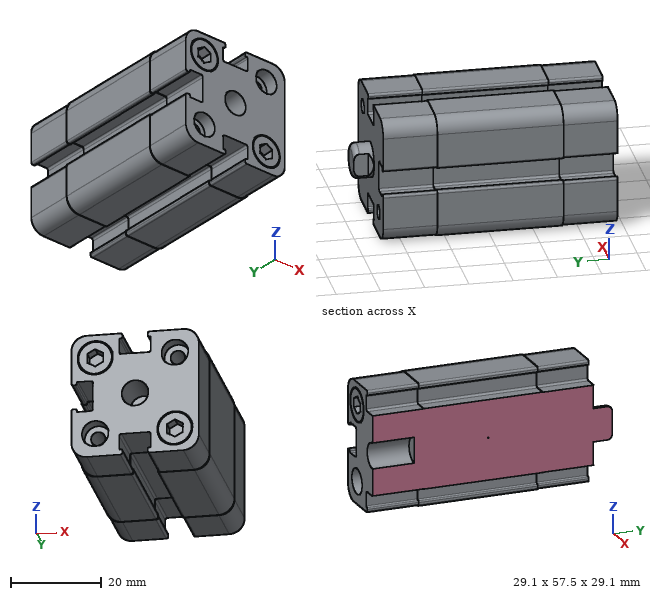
import cadquery as cq
import math

barrel_size = 29.05
cap_size = 28.8
body_length = 53.0
cap_length = 12.25
barrel_length = body_length - 2 * cap_length
corner_radius = 3.5

barrel_slot_floor = 9.55
cap_slot_floor = 9.5
lip_inner_face = 13.2
barrel_mouth_width = 5.4
barrel_slot_width = 6.8
cap_mouth_width = 5.7
cap_slot_width = 7.1
lip_outer_radius = 0.5
lip_inner_radius = 0.3
slot_inner_radius = 0.5
slot_sides = (90, 180, 270)

rod_diameter = 8.0
rod_length = 4.5
rod_end_radius = 1.3
flat_width = 6.0
flat_length = 3.4

hole_offset = 9.0
port_diameter = 6.0
port_depth = 10.0
counterbore_depth = 3.4
through_diameter = 3.24
screw_seat_diameter = 8.0
screw_head_diameter = 7.5
screw_head_depth = 4.0
socket_corner_diameter = 4.13
socket_depth = 3.0


def plane_at(y):
    """XZ plane at the given Y, with its normal toward +Y and local y along -Z."""
    return cq.Plane(origin=(0, y, 0), xDir=(1, 0, 0), normal=(0, 1, 0))


def cylinder(x, z, diameter, start, length):
    return cq.Workplane(plane_at(start)).center(x, -z).circle(diameter / 2).extrude(length)


def slot_cutter(size, mouth_width, slot_width, slot_floor, start, length):
    """T slot opening toward +X, with rounded inner corners and rounded mouth edges."""
    outer_face = size / 2
    mouth = mouth_width / 2
    flare = mouth + lip_outer_radius
    opening_start = slot_floor + slot_inner_radius
    arc_offset = lip_outer_radius * (1 - math.sqrt(0.5))
    groove = (
        cq.Workplane(plane_at(start))
        .center((slot_floor + lip_inner_face) / 2, 0)
        .rect(lip_inner_face - slot_floor, slot_width)
        .extrude(length)
        .edges("|Y and <X")
        .fillet(slot_inner_radius)
        .edges("|Y and >X")
        .fillet(lip_inner_radius)
    )
    opening = (
        cq.Workplane(plane_at(start))
        .moveTo(opening_start, -mouth)
        .lineTo(outer_face - lip_outer_radius, -mouth)
        .threePointArc((outer_face - arc_offset, -mouth - arc_offset), (outer_face, -flare))
        .lineTo(outer_face, flare)
        .threePointArc((outer_face - arc_offset, mouth + arc_offset), (outer_face - lip_outer_radius, mouth))
        .lineTo(opening_start, mouth)
        .close()
        .extrude(length)
    )
    corner_reach = lip_inner_radius / 2
    lip_corners = cq.selectors.BoxSelector(
        (lip_inner_face - corner_reach, start, -mouth - corner_reach),
        (lip_inner_face + corner_reach, start + length, mouth + corner_reach),
    )
    return groove.union(opening).edges("|Y").edges(lip_corners).fillet(lip_inner_radius)


def body_section(size, mouth_width, slot_width, slot_floor, start, length):
    """Square bar with rounded corners and a T slot in every side but +X."""
    section = (
        cq.Workplane(plane_at(start))
        .rect(size, size)
        .extrude(length)
        .edges("|Y")
        .fillet(corner_radius)
    )
    cutter = slot_cutter(size, mouth_width, slot_width, slot_floor, start, length)
    for angle in slot_sides:
        section = section.cut(cutter.rotate((0, 0, 0), (0, 1, 0), angle))
    return section


def piston_rod():
    """Round-ended rod on the body axis, with a wrench flat on the +X and -X sides."""
    rod = cylinder(0, 0, rod_diameter, body_length, rod_length)
    rod = rod.faces(">Y").edges().fillet(rod_end_radius)
    rod_end = body_length + rod_length
    flat_end = rod_end - flat_length
    half_flat = flat_width / 2
    half_rod = rod_diameter / 2
    slope_start = flat_end - (half_rod - half_flat)
    envelope = (
        cq.Workplane("XY")
        .polyline([
            (-half_rod, body_length),
            (half_rod, body_length),
            (half_rod, slope_start),
            (half_flat, flat_end),
            (half_flat, rod_end),
            (-half_flat, rod_end),
            (-half_flat, flat_end),
            (-half_rod, slope_start),
        ])
        .close()
        .extrude(half_rod, both=True)
    )
    return rod.intersect(envelope)


def cut_mounting_hole(body, x, z):
    """Counterbored hole through the whole body."""
    body = body.cut(cylinder(x, z, port_diameter, 0, counterbore_depth))
    return body.cut(cylinder(x, z, through_diameter, 0, body_length))


def cut_screw(body, x, z):
    """Gap around a flush screw head, and the head's hexagon socket."""
    gap = cylinder(x, z, screw_seat_diameter, 0, screw_head_depth)
    gap = gap.cut(cylinder(x, z, screw_head_diameter, 0, screw_head_depth))
    socket = (
        cq.Workplane(plane_at(0))
        .center(x, -z)
        .transformed(rotate=(0, 0, 90))
        .polygon(6, socket_corner_diameter)
        .extrude(socket_depth)
    )
    return body.cut(gap).cut(socket)


def end_cap(start):
    return body_section(cap_size, cap_mouth_width, cap_slot_width, cap_slot_floor, start, cap_length)


def slotted_barrel():
    return body_section(
        barrel_size, barrel_mouth_width, barrel_slot_width, barrel_slot_floor, cap_length, barrel_length
    )


body = end_cap(0).union(slotted_barrel()).union(end_cap(body_length - cap_length))
body = body.union(piston_rod())
body = body.cut(cylinder(0, 0, port_diameter, 0, port_depth))
for side in (-1, 1):
    body = cut_mounting_hole(body, side * hole_offset, side * hole_offset)
    body = cut_screw(body, side * hole_offset, -side * hole_offset)

result = body